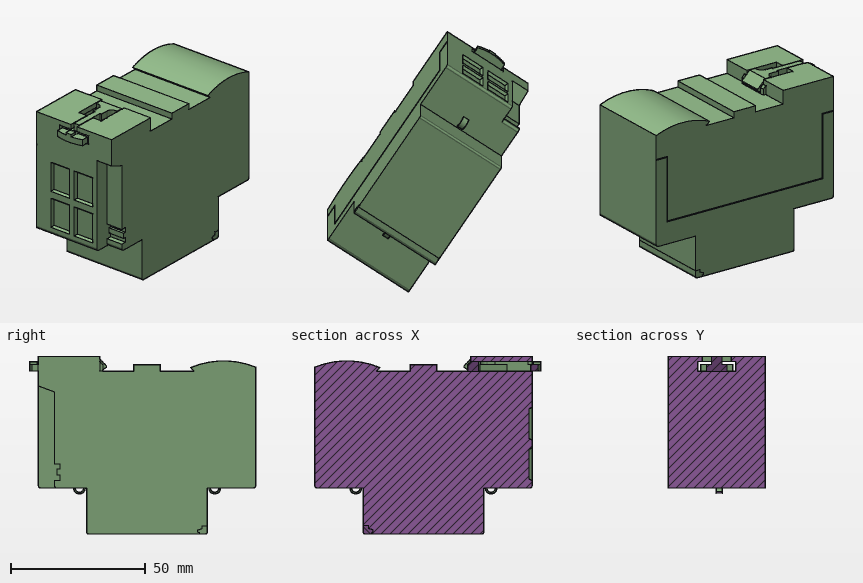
import cadquery as cq
import math


width = 36.0
half_width = width / 2
front_y = -40.4
back_y = -front_y
height = 66.0
rail_base_half_depth = 22.4
shoulder_z = 17.0
shoulder_fillet = 1.0
base_fillet = 0.75

deck_z = 60.45
front_block_y = -17.5
rib_half_depth = 4.95
rib_z = 62.9
dome_edge_y = 16.1
dome_edge_z = 61.8
dome_peak_y = 28.4
dome_peak_z = 64.3
dome_back_z = 61.95
dome_foot_y = 17.5

groove_width = 0.3
groove_depth = 0.1
groove_inset = 5.0
groove_floor_z = 26.1
groove_top_z = 52.1

window_columns = 2
window_rows = 2
window_width = 8.9
window_height = 12.1
window_depth = 1.2
window_draft = 25
window_pitch_x = 11.2
window_pitch_z = 15.0
window_left_x = -6.6
window_low_z = 25.9

recess_width = 7.05
recess_depth = 6.05
recess_mouth_z = 55.0
recess_ceiling_z = 52.7
slot_low_z = 19.9
slot_high_z = 26.0
slot_depth = 2.1
slot_rib_low_z = 21.9
slot_rib_high_z = 24.1
slot_rib_depth = 1.0

channel_width = 13.9
channel_top_z = 64.0
pocket_width = 10.7
pocket_front_y = -31.0
stem_slot_width = 3.0

wing_half_width = 6.8
wing_back_y = -16.4
wing_side_z = 62.9
wing_round = 2.7
hook_half_width = 5.0
hook_crest_y = -18.55
hook_tip_y = -15.0
hook_tip_top_z = 62.5
hook_tip_low_z = 61.9
hook_root_z = 60.95
head_front_y = -21.2
throat_half_width = 2.0
throat_arc_half_width = 3.95
throat_arc_y = -23.6
throat_front_y = -26.6
stem_half_width = 1.3
stem_front_y = -38.8
tongue_half_width = 2.6
tongue_back_half_width = 6.1
tongue_top_z = 63.0
handle_half_width = 6.0
handle_corner_y = -42.65
handle_tip_y = -43.6
handle_back_y = -39.8
handle_rib_back_y = -40.8

foot_top_z = 3.0
foot_neck_y = 20.5
foot_neck_z = 2.0
foot_bend_y = 19.65
foot_bend_z = 1.8
foot_hook_y = 18.8
foot_hook_top_z = 1.4
foot_hook_low_z = 0.8
foot_heel_y = 19.4
foot_heel_z = 0.5

loop_radius = 2.2
loop_thickness = 0.7
loop_width = 2.35
loop_x = -0.9
loop_y = 25.1


def side_prism(outline, x_from, x_to):
    """Extrude a closed outline drawn in the YZ plane from one X to another."""
    return outline.close().extrude(x_to - x_from).translate((x_from, 0, 0))


def box(x_from, x_to, y_from, y_to, z_from, z_to):
    size = (x_to - x_from, y_to - y_from, z_to - z_from)
    return cq.Workplane("XY").box(*size, centered=False).translate((x_from, y_from, z_from))


def housing_blank():
    """Housing profile: domed back, ribbed deck, raised front block, and the rail base below."""
    outline = (
        cq.Workplane("YZ")
        .moveTo(-rail_base_half_depth, 0)
        .lineTo(rail_base_half_depth, 0)
        .lineTo(rail_base_half_depth, shoulder_z)
        .lineTo(back_y, shoulder_z)
        .lineTo(back_y, dome_back_z)
        .threePointArc((dome_peak_y, dome_peak_z), (dome_edge_y, dome_edge_z))
        .lineTo(dome_foot_y, deck_z)
        .lineTo(rib_half_depth, deck_z)
        .lineTo(rib_half_depth, rib_z)
        .lineTo(-rib_half_depth, rib_z)
        .lineTo(-rib_half_depth, deck_z)
        .lineTo(front_block_y, deck_z)
        .lineTo(front_block_y, height)
        .lineTo(front_y, height)
        .lineTo(front_y, shoulder_z)
        .lineTo(-rail_base_half_depth, shoulder_z)
    )
    return side_prism(outline, -half_width, half_width)


def corner_recess():
    """Recess with a sloped ceiling and a slotted floor, open to the front and to +X."""
    x_from = half_width - recess_width
    floor_y = front_y + recess_depth
    outline = (
        cq.Workplane("YZ")
        .moveTo(front_y, 0)
        .lineTo(floor_y, 0)
        .lineTo(floor_y, recess_ceiling_z)
        .lineTo(front_y, recess_mouth_z)
    )
    recess = side_prism(outline, x_from, half_width)
    slot = box(x_from, half_width, floor_y, floor_y + slot_depth, slot_low_z, slot_high_z)
    slot_rib = box(
        x_from, half_width, floor_y + slot_rib_depth, floor_y + slot_depth, slot_rib_low_z, slot_rib_high_z
    )
    return recess.union(slot.cut(slot_rib))


def window(x, z):
    """One window, tapering inward from the front face."""
    return (
        cq.Workplane("XZ", origin=(x, front_y, z))
        .rect(window_width, window_height)
        .extrude(-window_depth, taper=window_draft)
    )


def side_groove():
    """Shallow U-shaped groove that runs out at the front and back edges of the -X side."""
    x_to = -half_width + groove_depth
    half = groove_width / 2
    front_leg_y = front_y + groove_inset
    back_leg_y = back_y - groove_inset
    top_z = groove_top_z + half
    outer = box(-half_width, x_to, front_leg_y - half, back_leg_y + half, groove_floor_z - half, top_z)
    inner = box(-half_width, x_to, front_leg_y + half, back_leg_y - half, groove_floor_z + half, top_z)
    groove = outer.cut(inner)
    for y_from, y_to in ((front_y, front_leg_y), (back_leg_y, back_y)):
        groove = groove.union(box(-half_width, x_to, y_from, y_to, top_z - groove_width, top_z))
    return groove


def latch_channel():
    """Cross channel, pocket and stem slot that take the latch in the front block."""
    channel = box(-channel_width / 2, channel_width / 2, front_y, front_block_y, deck_z, channel_top_z)
    pocket = box(-pocket_width / 2, pocket_width / 2, pocket_front_y, front_block_y, deck_z, height)
    slot = box(-stem_slot_width / 2, stem_slot_width / 2, front_y, front_block_y, deck_z, height)
    return channel.union(pocket).union(slot)


def rounded_bottoms(body):
    """Round the lower outer edges of the shoulders and of the rail base."""
    inner_y = rail_base_half_depth + shoulder_fillet
    low_z = shoulder_z - shoulder_fillet
    high_z = shoulder_z + shoulder_fillet
    for y_from, y_to in ((2 * front_y, -inner_y), (inner_y, 2 * back_y)):
        span = cq.selectors.BoxSelector((-width, y_from, low_z), (width, y_to, high_z))
        body = body.edges("|X").edges(span).fillet(shoulder_fillet)
    return body.faces("<Z").edges("|X").fillet(base_fillet)


def foot_space():
    """Space of the rail foot, with a hooked seam towards the housing and square outer corners."""
    outline = (
        cq.Workplane("YZ")
        .moveTo(rail_base_half_depth, 0)
        .lineTo(rail_base_half_depth, foot_top_z)
        .lineTo(foot_neck_y, foot_top_z)
        .lineTo(foot_neck_y, foot_neck_z)
        .lineTo(foot_bend_y, foot_bend_z)
        .lineTo(foot_hook_y, foot_hook_top_z)
        .lineTo(foot_hook_y, foot_hook_low_z)
        .lineTo(foot_heel_y, foot_heel_z)
        .lineTo(foot_heel_y, 0)
    )
    return side_prism(outline, -half_width, half_width)


def make_housing(body):
    housing = body.cut(foot_space()).cut(side_groove()).cut(latch_channel())
    for column in range(window_columns):
        for row in range(window_rows):
            x = window_left_x + column * window_pitch_x
            z = window_low_z + row * window_pitch_z
            housing = housing.cut(window(x, z))
    return housing


def make_foot(body):
    """The corner of the rounded rail base that lies within the foot space."""
    return body.intersect(foot_space())


def latch_head():
    """Hook, side wings and stem of the latch, narrowing forward through concave throat arcs."""
    corner_share = 1 - math.sqrt(0.5)
    wing_arc_mid = wing_round * corner_share
    throat_dx = throat_arc_half_width - throat_half_width
    throat_dy = head_front_y - throat_arc_y
    plan = (
        cq.Workplane("XY")
        .moveTo(0, hook_tip_y)
        .lineTo(wing_half_width, hook_tip_y)
        .lineTo(wing_half_width, head_front_y + wing_round)
        .threePointArc(
            (wing_half_width - wing_arc_mid, head_front_y + wing_arc_mid),
            (wing_half_width - wing_round, head_front_y),
        )
        .lineTo(throat_arc_half_width, head_front_y)
        .threePointArc(
            (throat_half_width + throat_dx * corner_share, head_front_y - throat_dy * corner_share),
            (throat_half_width, throat_arc_y),
        )
        .lineTo(throat_half_width, throat_front_y)
        .lineTo(stem_half_width, throat_front_y)
        .lineTo(stem_half_width, stem_front_y)
        .lineTo(0, stem_front_y)
        .mirrorY()
        .extrude(height - deck_z)
        .translate((0, 0, deck_z))
    )
    wing_slope_y = wing_back_y - (channel_top_z - wing_side_z)
    wing_side = (
        cq.Workplane("YZ")
        .moveTo(stem_front_y, deck_z)
        .lineTo(wing_back_y, deck_z)
        .lineTo(wing_back_y, wing_side_z)
        .lineTo(wing_slope_y, channel_top_z)
        .lineTo(stem_front_y, channel_top_z)
    )
    hook_side = (
        cq.Workplane("YZ")
        .moveTo(stem_front_y, deck_z)
        .lineTo(wing_back_y, deck_z)
        .lineTo(wing_back_y, hook_root_z)
        .lineTo(hook_tip_y, hook_tip_low_z)
        .lineTo(hook_tip_y, hook_tip_top_z)
        .lineTo(hook_crest_y, height)
        .lineTo(stem_front_y, height)
    )
    wings = side_prism(wing_side, -wing_half_width, wing_half_width)
    hook = side_prism(hook_side, -hook_half_width, hook_half_width)
    return plan.intersect(wings.union(hook))


def latch_tongue():
    """Flat lower plate that tapers forward and reaches out to the handle."""
    return (
        cq.Workplane("XY")
        .moveTo(0, front_block_y)
        .lineTo(tongue_back_half_width, front_block_y)
        .lineTo(tongue_half_width, pocket_front_y)
        .lineTo(stem_half_width, pocket_front_y)
        .lineTo(stem_half_width, handle_back_y)
        .lineTo(0, handle_back_y)
        .mirrorY()
        .extrude(tongue_top_z - deck_z)
        .translate((0, 0, deck_z))
    )


def latch_handle():
    """Bowed handle that starts inside the channel, with a raised rib in its middle."""
    bow = (
        cq.Workplane("XY")
        .moveTo(-handle_half_width, handle_back_y)
        .lineTo(-handle_half_width, handle_corner_y)
        .threePointArc((0, handle_tip_y), (handle_half_width, handle_corner_y))
        .lineTo(handle_half_width, handle_back_y)
        .close()
    )
    full_height = bow.extrude(channel_top_z - deck_z).translate((0, 0, deck_z))
    rib_zone = box(
        -stem_half_width, stem_half_width, handle_tip_y, handle_rib_back_y, tongue_top_z, channel_top_z
    )
    plate_zone = box(-handle_half_width, handle_half_width, handle_tip_y, handle_back_y, deck_z, tongue_top_z)
    return full_height.intersect(plate_zone.union(rib_zone))


def make_latch():
    return latch_head().union(latch_tongue()).union(latch_handle())


def make_loop(y):
    """Half ring that hangs from the shoulder."""
    inner_radius = loop_radius - loop_thickness
    outline = (
        cq.Workplane("YZ")
        .moveTo(y - loop_radius, shoulder_z)
        .threePointArc((y, shoulder_z - loop_radius), (y + loop_radius, shoulder_z))
        .lineTo(y + inner_radius, shoulder_z)
        .threePointArc((y, shoulder_z - inner_radius), (y - inner_radius, shoulder_z))
    )
    return side_prism(outline, loop_x - loop_width / 2, loop_x + loop_width / 2)


body = rounded_bottoms(housing_blank().cut(corner_recess()))
housing = make_housing(body)
foot = make_foot(body)
latch = make_latch()
loops = [make_loop(y) for y in (-loop_y, loop_y)]

result = cq.Compound.makeCompound(
    [housing.val(), foot.val(), latch.val(), *[loop.val() for loop in loops]]
)